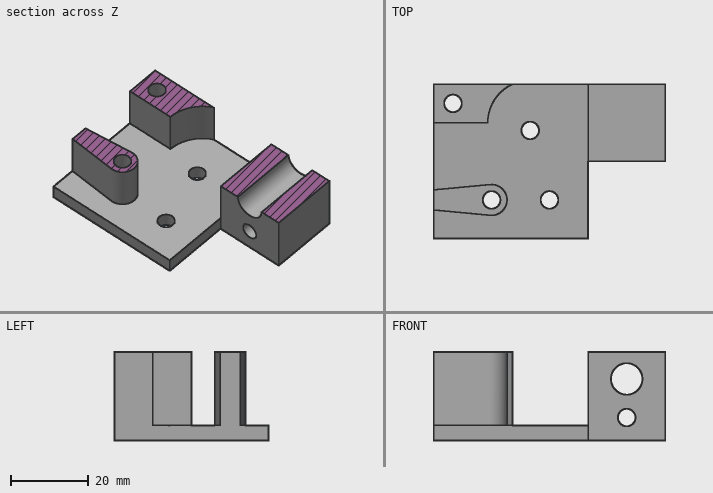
import cadquery as cq
import math

plate_side = 40.0
plate_thickness = 4.0
total_height = 23.0

block_side = 20.0
block_center_x = plate_side + block_side / 2
block_small_hole_z = 6.0
block_large_hole_z = 16.0
large_hole_diameter = 8.1

screw_hole_diameter = 4.5
corner_post_hole = (5.0, 35.0)
rib_hole = (15.0, 10.0)
plate_holes = [(25.0, 28.0), (30.0, 10.0)]

post_depth = 10.0
post_front_width = 14.0
post_arc_radius = 11.0

rib_nose_radius = 4.0
rib_end_width = 5.2


def make_plate():
    return cq.Workplane("XY").box(plate_side, plate_side, plate_thickness, centered=False)


def make_block():
    corner = (plate_side, plate_side - block_side, 0)
    return (
        cq.Workplane("XY")
        .box(block_side, block_side, total_height, centered=False)
        .translate(corner)
    )


def make_corner_post():
    """The concave arc is centred level with the post's front face, so it starts square to it."""
    front_y = plate_side - post_depth
    arc_center_x = post_front_width + post_arc_radius

    def arc_point(rise):
        return (arc_center_x - math.sqrt(post_arc_radius**2 - rise**2), front_y + rise)

    return (
        cq.Workplane("XY")
        .moveTo(0, front_y)
        .lineTo(post_front_width, front_y)
        .threePointArc(arc_point(post_depth / 2), arc_point(post_depth))
        .lineTo(0, plate_side)
        .close()
        .extrude(total_height)
    )


def make_rib():
    """The rib's sides run from its narrow end to points of tangency on the round nose."""
    nose_x, nose_y = rib_hole
    half_end = rib_end_width / 2
    end_distance = math.hypot(nose_x, half_end)
    taper = math.asin(rib_nose_radius / end_distance) - math.atan2(half_end, nose_x)
    tangent_x = nose_x - rib_nose_radius * math.sin(taper)
    tangent_offset = rib_nose_radius * math.cos(taper)
    return (
        cq.Workplane("XY")
        .moveTo(0, nose_y - half_end)
        .lineTo(tangent_x, nose_y - tangent_offset)
        .threePointArc((nose_x + rib_nose_radius, nose_y), (tangent_x, nose_y + tangent_offset))
        .lineTo(0, nose_y + half_end)
        .close()
        .extrude(total_height)
    )


def make_screw_holes():
    centers = [corner_post_hole, rib_hole] + plate_holes
    return cq.Workplane("XY").pushPoints(centers).circle(screw_hole_diameter / 2).extrude(total_height)


def make_block_hole(diameter, z):
    """Cylinder along Y through the whole depth of the block."""
    return (
        cq.Workplane("XZ", origin=(0, plate_side, 0))
        .center(block_center_x, z)
        .circle(diameter / 2)
        .extrude(block_side)
    )


result = (
    make_plate()
    .union(make_block())
    .union(make_corner_post())
    .union(make_rib())
    .cut(make_screw_holes())
    .cut(make_block_hole(large_hole_diameter, block_large_hole_z))
    .cut(make_block_hole(screw_hole_diameter, block_small_hole_z))
)